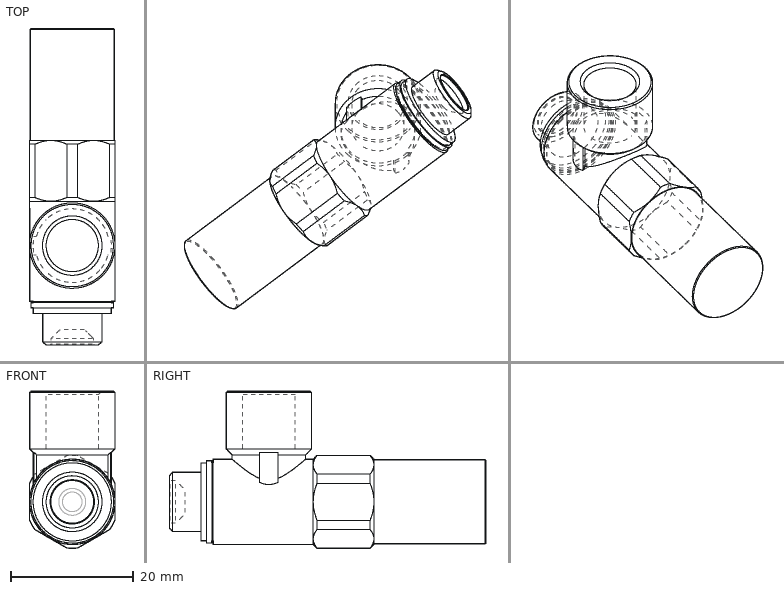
import cadquery as cq
import math

overall_length = 51.8

nipple_dia = 9.75
nipple_tip_dia = 8.55
nipple_chamfer_length = 0.5
flange_dia = 12.8
flange_start = 5.15
ring_dia = 13.5
ring_start = 6.05
ring_end = 6.95

body_dia = 14.0
body_start = 7.15
hex_start = 23.5
hex_end = 33.45
hex_across_flats = body_dia
hex_corner_dia = 15.25
hex_chamfer = (hex_corner_dia - hex_across_flats) / 2
tube_dia = 13.8
tube_chamfer = 0.15

mouth_dia = 7.0
mouth_rim_dia = 7.25
mouth_rim_depth = (mouth_rim_dia - mouth_dia) / 2
mouth_depth = 1.05
cone_end_dia = 4.4
cone_end_depth = mouth_depth + (mouth_dia - cone_end_dia) / 2
floor_dia = 3.2
floor_round = (cone_end_dia - floor_dia) / 2 / math.sin(math.radians(45))
floor_depth = cone_end_depth + floor_round * (1 - math.cos(math.radians(45)))

branch_y = 16.25
branch_top = 18.15
collar_dia = 14.0
collar_bottom = 8.65
collar_chamfer = 0.25
neck_dia = 12.05
neck_top = collar_bottom - (collar_dia - neck_dia) / 2
branch_bore_dia = 8.55
branch_bore_mouth_dia = nipple_dia
branch_bore_bottom = collar_bottom

rib_width = 3.0
rib_outer_dia = 12.8
rib_top = neck_top + (rib_outer_dia - neck_dia) / 2


def revolve_y(points):
    """Revolve (radius, y) points around the Y axis."""
    return cq.Workplane("XY").polyline(points).close().revolve(360, (0, 0, 0), (0, 1, 0))


def revolve_branch(points):
    """Revolve (radius, z) points around the vertical branch axis."""
    solid = cq.Workplane("XZ").polyline(points).close().revolve(360, (0, 0, 0), (0, 1, 0))
    return solid.translate((0, branch_y, 0))


def turned_body():
    return revolve_y([
        (0, 0),
        (nipple_tip_dia / 2, 0),
        (nipple_dia / 2, nipple_chamfer_length),
        (nipple_dia / 2, flange_start),
        (flange_dia / 2, flange_start),
        (flange_dia / 2, ring_start),
        (ring_dia / 2, ring_start),
        (ring_dia / 2, ring_end),
        (flange_dia / 2, ring_end),
        (flange_dia / 2, body_start),
        (body_dia / 2, body_start),
        (body_dia / 2, hex_start),
        (tube_dia / 2, hex_start),
        (tube_dia / 2, overall_length - tube_chamfer),
        (tube_dia / 2 - tube_chamfer, overall_length),
        (0, overall_length),
    ])


def hexagon():
    """Hexagon with vertical side flats and turned-down, chamfered corners."""
    plane = cq.Workplane("XZ", origin=(0, hex_start, 0))
    prism = plane.polygon(6, hex_across_flats, circumscribed=True).extrude(hex_start - hex_end)
    turned_blank = revolve_y([
        (0, hex_start),
        (hex_across_flats / 2, hex_start),
        (hex_corner_dia / 2, hex_start + hex_chamfer),
        (hex_corner_dia / 2, hex_end - hex_chamfer),
        (hex_across_flats / 2, hex_end),
        (0, hex_end),
    ])
    return prism.intersect(turned_blank)


def branch():
    return revolve_branch([
        (0, 0),
        (neck_dia / 2, 0),
        (neck_dia / 2, neck_top),
        (collar_dia / 2, collar_bottom),
        (collar_dia / 2, branch_top - collar_chamfer),
        (collar_dia / 2 - collar_chamfer, branch_top),
        (0, branch_top),
    ])


def ribs():
    """One slab with rounded ends, standing out of the neck on both sides."""
    disc = cq.Workplane("XY").circle(rib_outer_dia / 2).extrude(rib_top)
    slab = cq.Workplane("XY").box(rib_outer_dia, rib_width, rib_top, centered=(True, True, False))
    return disc.intersect(slab).translate((0, branch_y, 0))


def nipple_bore():
    """The floor edge is an arc tangent to both the cone and the floor."""
    half_angle = math.radians(45 / 2)
    arc_middle = (
        floor_dia / 2 + floor_round * math.sin(half_angle),
        floor_depth - floor_round * (1 - math.cos(half_angle)),
    )
    profile = (
        cq.Workplane("XY")
        .moveTo(0, 0)
        .lineTo(mouth_rim_dia / 2, 0)
        .lineTo(mouth_dia / 2, mouth_rim_depth)
        .lineTo(mouth_dia / 2, mouth_depth)
        .lineTo(cone_end_dia / 2, cone_end_depth)
        .threePointArc(arc_middle, (floor_dia / 2, floor_depth))
        .lineTo(0, floor_depth)
        .close()
    )
    return profile.revolve(360, (0, 0, 0), (0, 1, 0))


def branch_bore():
    mouth_chamfer = (branch_bore_mouth_dia - branch_bore_dia) / 2
    return revolve_branch([
        (0, branch_bore_bottom),
        (branch_bore_dia / 2, branch_bore_bottom),
        (branch_bore_dia / 2, branch_top - mouth_chamfer),
        (branch_bore_mouth_dia / 2, branch_top),
        (0, branch_top),
    ])


solid_part = turned_body().union(hexagon()).union(branch()).union(ribs())
part = solid_part.cut(nipple_bore()).cut(branch_bore())

result = part.translate((0, -overall_length / 2, 0))